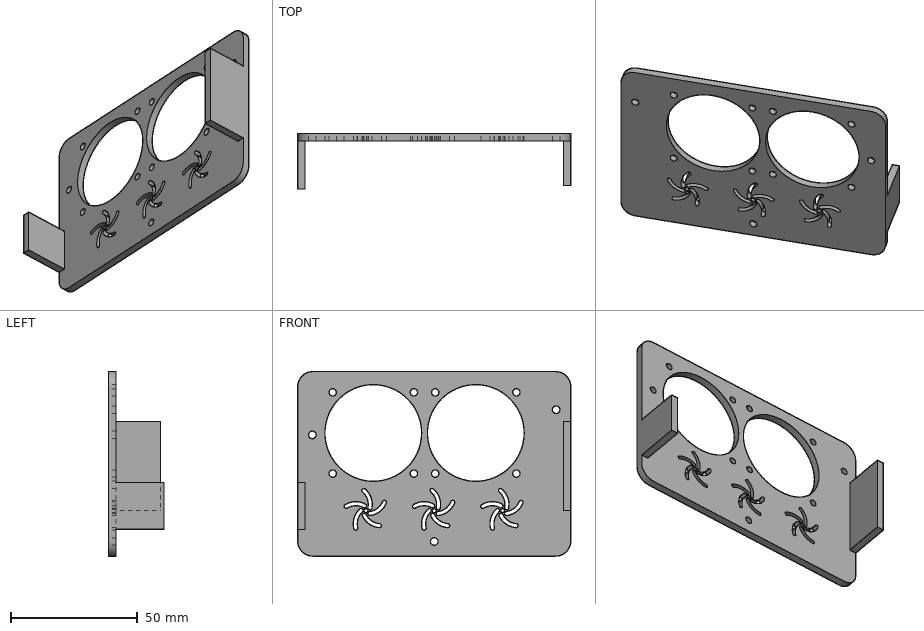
import cadquery as cq
import math

plate_length = 107.7
plate_height = 72.8
plate_thickness = 3.0
corner_radius = 6.0

fan_diameter = 38.0
fan_spacing = 40.4
left_fan_x = -24.0
fan_z = 12.2
fan_screw_diameter = 2.8
fan_screw_pitch = 32.0

mount_diameter = 2.9
mount_points = [(-48.0, 11.4), (48.0, 21.3), (0, -30.6)]

pinwheel_spacing = 26.9
pinwheel_count = 3
middle_pinwheel_x = 0.0
pinwheel_z = -18.4
hub_diameter = 1.5
blade_count = 5
blade_width = 1.5
blade_inner_radius = 1.9
blade_inner_angle = 35.0
blade_tip_radius = 8.0
blade_tip_angle = 96.0
blade_sagitta = 1.0

tab_thickness = 3.0
left_tab_reach = 19.0
left_tab_bottom = -25.8
left_tab_height = 18.5
right_tab_reach = 17.6
right_tab_bottom = -18.4
right_tab_height = 35.1


def front_plane():
    """Workplane on the plate's front face; local axes are X and Z, extrusion goes to -Y."""
    return cq.Workplane("XZ")


def drill(points, diameter):
    """Round cutters through the plate thickness."""
    return front_plane().pushPoints(points).circle(diameter / 2).extrude(-plate_thickness)


def polar(radius, degrees):
    angle = math.radians(degrees)
    return cq.Vector(radius * math.cos(angle), radius * math.sin(angle))


def blade():
    """Arc-shaped slot cutter with round ends, for a pinwheel at the origin."""
    half_width = blade_width / 2
    inner = polar(blade_inner_radius, blade_inner_angle)
    tip = polar(blade_tip_radius, blade_tip_angle)
    chord = tip - inner
    bulge = cq.Vector(chord.y, -chord.x).normalized()
    middle = (inner + tip) * 0.5 + bulge * blade_sagitta

    half_chord = chord.Length / 2
    arc_radius = (half_chord**2 + blade_sagitta**2) / (2 * blade_sagitta)
    center = middle - bulge * arc_radius

    def offset(point, distance):
        moved = point + (point - center).normalized() * distance
        return (moved.x, moved.y)

    def end_cap(point, direction):
        """Outermost point of the round end, along the tangent of the centreline."""
        radial = (point - center).normalized()
        cap = point + cq.Vector(-radial.y, radial.x) * direction * half_width
        return (cap.x, cap.y)

    return (
        front_plane()
        .moveTo(*offset(inner, half_width))
        .threePointArc(offset(middle, half_width), offset(tip, half_width))
        .threePointArc(end_cap(tip, 1), offset(tip, -half_width))
        .threePointArc(offset(middle, -half_width), offset(inner, -half_width))
        .threePointArc(end_cap(inner, -1), offset(inner, half_width))
        .close()
        .extrude(-plate_thickness)
    )


def tab(left_x, bottom_z, height, reach):
    """Flat side tab, running from the plate's rear face to its forward end."""
    return cq.Workplane("XY").box(
        tab_thickness, plate_thickness + reach, height, centered=False
    ).translate((left_x, -reach, bottom_z))


plate = (
    front_plane()
    .rect(plate_length, plate_height)
    .extrude(-plate_thickness)
    .edges("|Y")
    .fillet(corner_radius)
)

screw_offset = fan_screw_pitch / 2
for fan_x in (left_fan_x, left_fan_x + fan_spacing):
    plate = plate.cut(drill([(fan_x, fan_z)], fan_diameter))
    screw_points = [
        (fan_x + side * screw_offset, fan_z + level * screw_offset)
        for side in (-1, 1)
        for level in (-1, 1)
    ]
    plate = plate.cut(drill(screw_points, fan_screw_diameter))

plate = plate.cut(drill(mount_points, mount_diameter))

for index in range(pinwheel_count):
    pinwheel_x = middle_pinwheel_x + (index - (pinwheel_count - 1) / 2) * pinwheel_spacing
    plate = plate.cut(drill([(pinwheel_x, pinwheel_z)], hub_diameter))
    for blade_index in range(blade_count):
        turn = blade_index * 360 / blade_count
        cutter = blade().rotate((0, 0, 0), (0, 1, 0), turn)
        plate = plate.cut(cutter.translate((pinwheel_x, 0, pinwheel_z)))

left_tab = tab(-plate_length / 2, left_tab_bottom, left_tab_height, left_tab_reach)
right_tab = tab(plate_length / 2 - tab_thickness, right_tab_bottom, right_tab_height, right_tab_reach)

result = plate.union(left_tab).union(right_tab)